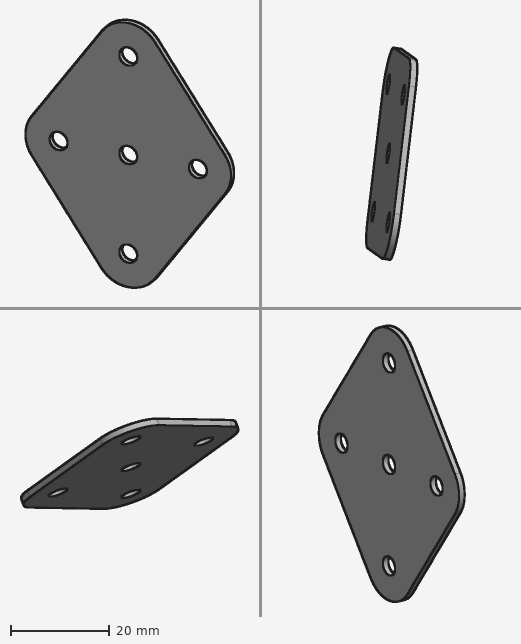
import cadquery as cq

width = 46.55
thickness = 1.5
height = 59.15

corner_radius = 7.5
hole_diameter = 4.0

hole_x = width / 2 - corner_radius
hole_z = height / 2 - corner_radius
corner_centers = [(hole_x, 0), (0, hole_z), (-hole_x, 0), (0, -hole_z)]
hole_centers = corner_centers + [(0, 0)]


def make_plate():
    """Diamond through the corner centers, grown outward by the corner radius."""
    return (
        cq.Workplane("XZ", origin=(0, thickness / 2, 0))
        .polyline(corner_centers)
        .close()
        .offset2D(corner_radius, "arc")
        .extrude(thickness)
    )


def make_holes():
    """Pins through the full thickness for the center hole and the four corner holes."""
    return (
        cq.Workplane("XZ", origin=(0, thickness / 2, 0))
        .pushPoints(hole_centers)
        .circle(hole_diameter / 2)
        .extrude(thickness)
    )


result = make_plate().cut(make_holes())